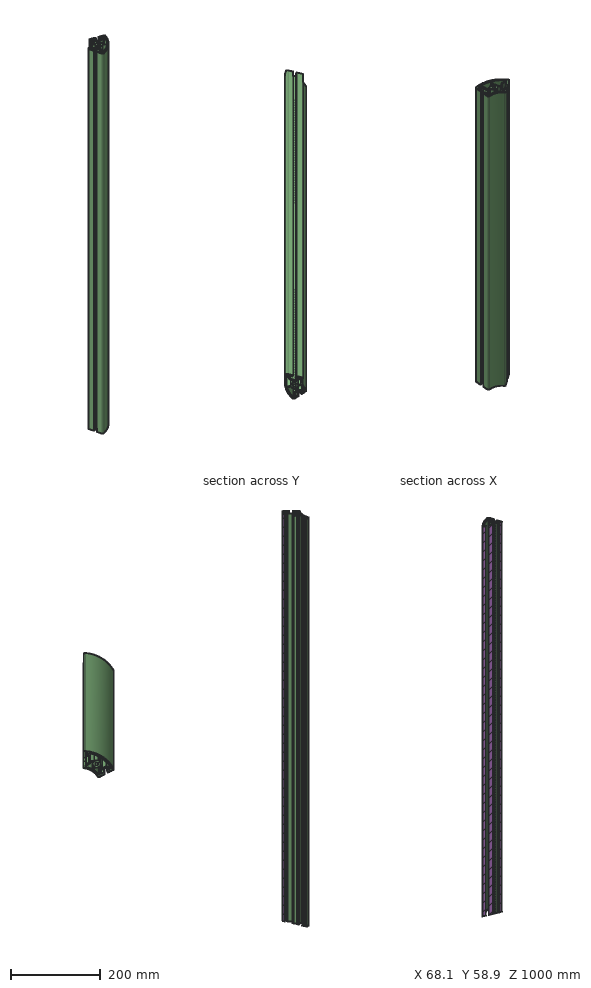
import cadquery as cq
import math

LENGTH = 1000.0
FACE_WIDTH = 40.0
INNER_RADIUS = 40.0
OUTER_RADIUS = INNER_RADIUS + FACE_WIDTH
SECTOR_ANGLE = 60.0
START_ANGLE = 90.0 - SECTOR_ANGLE
AXIS_ANGLE = 90.0 - SECTOR_ANGLE / 2
CORNER_RADIUS = 3.0

SKIN = 4.0
WELL_WALL = 3.0
RIB = 3.0
SIDE_RIB_OFFSET = 4.0

SLOT_RADIUS = INNER_RADIUS + FACE_WIDTH / 2
SLOT_OPENING = 8.0
LIP_DEPTH = 5.0
SLOT_DEPTH = 12.0
SLOT_WIDE = 21.0
SLOT_FLOOR = 13.0
SLOT_SIDE_DEPTH = 7.0

CORE_RADIUS = 59.0
CORE_DIAMETER = 17.0
BORE_DIAMETER = 6.8


def polar(radius, angle):
    radians = math.radians(angle)
    return radius * math.cos(radians), radius * math.sin(radians)


def sector(inner, outer):
    """Extruded ring segment between the two slotted faces."""
    return (
        cq.Workplane("XY")
        .moveTo(*polar(inner, START_ANGLE))
        .lineTo(*polar(outer, START_ANGLE))
        .threePointArc(polar(outer, AXIS_ANGLE), polar(outer, 90))
        .lineTo(*polar(inner, 90))
        .threePointArc(polar(inner, AXIS_ANGLE), polar(inner, START_ANGLE))
        .close()
        .extrude(LENGTH)
    )


def on_both_faces(solid):
    """Pair a feature of the X = 0 face with its mirror on the angled face."""
    mirrored = solid.mirror("YZ")
    return solid.union(mirrored.rotate((0, 0, 0), (0, 0, 1), -SECTOR_ANGLE))


def block(x_start, x_end, y_centre, width):
    """Full-length bar between two X positions, centred on y_centre."""
    return cq.Workplane("XY").box(
        x_end - x_start, width, LENGTH, centered=(False, True, False)
    ).translate((x_start, y_centre, 0))


def cavity(wall=0.0):
    """Tapered slot cavity behind the lips, enlarged by the given wall."""
    half_wide = SLOT_WIDE / 2 + wall
    half_floor = SLOT_FLOOR / 2 + wall / 2
    half_profile = [
        (LIP_DEPTH, half_wide),
        (SLOT_SIDE_DEPTH, half_wide),
        (SLOT_DEPTH + wall, half_floor),
    ]
    profile = half_profile + [(x, -y) for x, y in reversed(half_profile)]
    return (
        cq.Workplane("XY").polyline(profile).close().extrude(LENGTH)
        .translate((0, SLOT_RADIUS, 0))
    )


envelope = sector(INNER_RADIUS, OUTER_RADIUS).edges("|Z").fillet(CORNER_RADIUS)
skins = envelope.cut(sector(INNER_RADIUS + SKIN, OUTER_RADIUS - SKIN))

lips = block(0, LIP_DEPTH, SLOT_RADIUS, FACE_WIDTH)
wells = on_both_faces(lips.union(cavity(WELL_WALL)))

core_x, core_y = polar(CORE_RADIUS, AXIS_ANGLE)
core = (
    cq.Workplane("XY").circle(CORE_DIAMETER / 2).extrude(LENGTH)
    .translate((CORE_RADIUS, 0, 0))
)
axial_rib = block(INNER_RADIUS, OUTER_RADIUS, 0, RIB)
core = core.union(axial_rib).rotate((0, 0, 0), (0, 0, 1), AXIS_ANGLE)
side_ribs = on_both_faces(block(SLOT_DEPTH, core_x, SLOT_RADIUS - SIDE_RIB_OFFSET, RIB))

slots = on_both_faces(cavity().union(block(0, SLOT_DEPTH, SLOT_RADIUS, SLOT_OPENING)))
bore = (
    cq.Workplane("XY").center(core_x, core_y).circle(BORE_DIAMETER / 2).extrude(LENGTH)
)

profile_bar = skins.union(wells).union(core).union(side_ribs)
profile_bar = profile_bar.intersect(envelope).cut(slots).cut(bore)

middle = profile_bar.val().BoundingBox().center
result = profile_bar.translate(middle * -1)